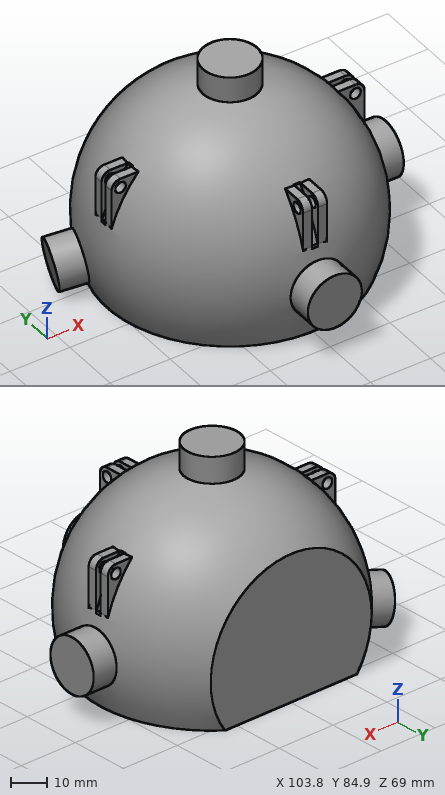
import cadquery as cq
import math

dome_radius = 44.4
base_depth = 17.0
back_distance = 32.9

stub_reach = 52.0
stub_radius = 9.0
tilted_stub_radius = 8.0
tilted_stub_reach = 52.3
tilted_stub_swing = 18.3
tilted_stub_drop = 9.6

lug_reach = 42.2
lug_top = 29.2
lug_width = 8.0
lug_slot = 2.0
lug_slot_sink = 0.3
lug_root = 1.0
lug_corner_radius = 3.0
lug_hole_radius = 1.8
lug_hole_inset = lug_corner_radius


def make_dome():
    """Sphere trimmed flat at the base and at the back."""
    size = 2 * dome_radius
    kept_block = (
        cq.Workplane("XY", origin=(0, 0, -base_depth))
        .rect(size, size)
        .extrude(size)
        .intersect(
            cq.Workplane("XZ", origin=(0, back_distance, 0))
            .rect(size, 2 * size)
            .extrude(size)
        )
    )
    return cq.Workplane("XY").sphere(dome_radius).intersect(kept_block)


def make_stub(direction, radius, reach):
    """Cylinder from the sphere's interior out to the given reach."""
    start_distance = dome_radius / 2
    start = cq.Vector(*direction) * start_distance
    return cq.Workplane(
        cq.Solid.makeCylinder(radius, reach - start_distance, start, cq.Vector(*direction))
    )


def make_lug(angle):
    """Drilled, unslotted lug standing out along +X, turned about Z by the angle."""
    top_start = math.sqrt(dome_radius**2 - lug_top**2) - lug_root
    foot_height = math.sqrt(dome_radius**2 - lug_reach**2) - lug_root
    ears = (
        cq.Workplane("XZ")
        .moveTo(top_start, lug_top)
        .lineTo(lug_reach, lug_top)
        .lineTo(lug_reach, foot_height)
        .lineTo(top_start, foot_height)
        .close()
        .extrude(lug_width / 2, both=True)
        .edges("|Y and >X and >Z")
        .fillet(lug_corner_radius)
    )
    hole = (
        cq.Workplane("XZ")
        .center(lug_reach - lug_hole_inset, lug_top - lug_hole_inset)
        .circle(lug_hole_radius)
        .extrude(lug_width, both=True)
    )
    return ears.cut(hole).rotate((0, 0, 0), (0, 0, 1), angle)


def make_slot(angle):
    """Cutter between the ears, its floor a sphere just under the dome surface."""
    slot = (
        cq.Workplane("XY")
        .box(lug_reach, lug_slot, lug_top, centered=(False, True, False))
        .cut(cq.Workplane("XY").sphere(dome_radius - lug_slot_sink))
    )
    return slot.rotate((0, 0, 0), (0, 0, 1), angle)


swing = math.radians(tilted_stub_swing)
drop = math.radians(tilted_stub_drop)
tilted_direction = (
    -math.cos(drop) * math.cos(swing),
    math.cos(drop) * math.sin(swing),
    -math.sin(drop),
)

part = make_dome()
lug_angles = (0, 180, 270)
for lug_angle in lug_angles:
    part = part.union(make_lug(lug_angle))
for lug_angle in lug_angles:
    part = part.cut(make_slot(lug_angle))

for stub_direction in ((1, 0, 0), (0, -1, 0), (0, 0, 1)):
    part = part.union(make_stub(stub_direction, stub_radius, stub_reach))
part = part.union(make_stub(tilted_direction, tilted_stub_radius, tilted_stub_reach))

result = part